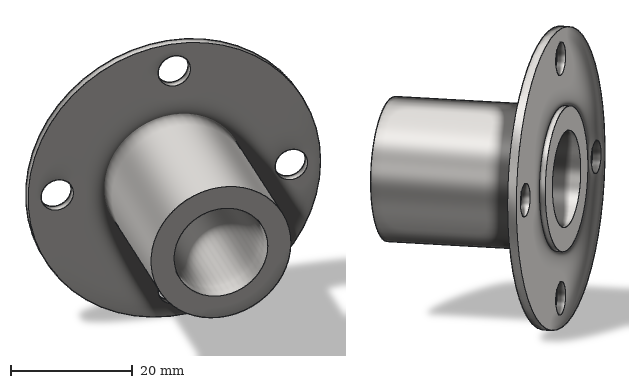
import cadquery as cq

total_length = 30.0
flange_diameter = 50.0
flange_thickness = 1.5
spigot_diameter = 24.0
spigot_length = 1.0
tube_diameter = 23.9
root_fillet_radius = 0.1
bore_diameter = 16.0
bolt_circle_diameter = 40.0
bolt_hole_diameter = 5.5
bolt_hole_count = 4

flange_back = spigot_length + flange_thickness


def disc(diameter, start, end):
    """Solid cylinder on the X axis between two X positions."""
    return cq.Workplane("YZ").workplane(offset=start).circle(diameter / 2).extrude(end - start)


flange = disc(flange_diameter, spigot_length, flange_back)
tube = disc(tube_diameter, flange_back, total_length)
body = flange.union(tube)
root_corner = cq.selectors.BoxSelector(
    (flange_back - root_fillet_radius, -tube_diameter, -tube_diameter),
    (flange_back + root_fillet_radius, tube_diameter, tube_diameter),
)
body = body.edges(root_corner).edges(cq.selectors.RadiusNthSelector(0)).fillet(root_fillet_radius)

body = body.union(disc(spigot_diameter, 0, spigot_length))

bolt_holes = (
    cq.Workplane("YZ")
    .workplane(offset=spigot_length)
    .polarArray(bolt_circle_diameter / 2, 0, 360, bolt_hole_count)
    .circle(bolt_hole_diameter / 2)
    .extrude(flange_thickness)
)

bore = disc(bore_diameter, 0, total_length)

result = body.cut(bolt_holes).cut(bore)